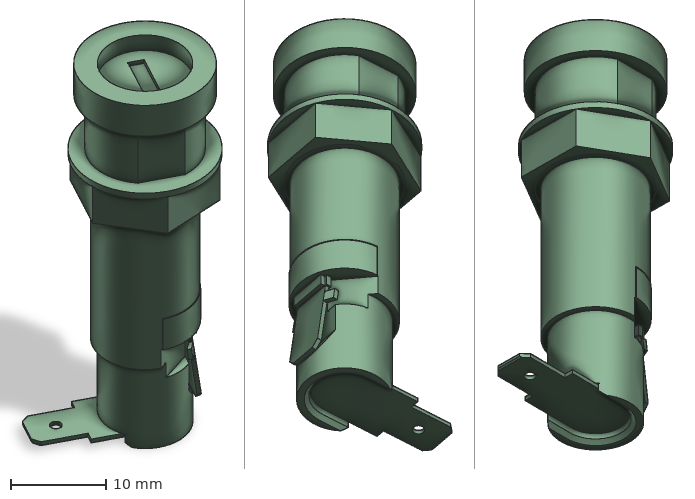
import cadquery as cq
import math


total_height = 46.5
head_height = 4.0
head_base_z = total_height - head_height
nut_base_z = 30.0
hex_height = 4.75
flange_thickness = 0.75
barrel_base_z = 10.8

head_radius = 7.5
neck_radius = 6.35
neck_flat_width = 11.6
barrel_radius = 5.75
tube_radius = 5.05
band_radius = 5.85
band_start_y = 0.15
band_base_z = 13.2
band_height = 4.0

relief_y = 3.8
relief_ledge_z = 8.9
ramp_top_z = 5.4
ramp_base_z = 3.0

carrier_radius = 5.0
carrier_recess = 2.0
slot_length = 6.5
slot_width = 1.8
slot_depth = 0.5

hex_across_flats = 14.0
flange_radius = 8.1

pocket_radius = 3.75
pocket_depth = 1.5
pocket_chamfer = 0.5

terminal_thickness = 0.5
blade_width = 4.8
blade_chamfer = 0.8
shoulder_width = 7.0

bottom_tip_y = -12.99
bottom_shoulder_y = -7.0
bottom_tip_bevel = 0.15
blade_hole_diameter = 1.3
blade_hole_y = -9.8

side_tip_z = 3.05
side_shoulder_base_z = 9.55
side_shoulder_top_z = 10.9
side_root_base_z = 11.9
side_root_width = 5.2
side_lean_angle = 7.5
side_strip_gap = 0.1
side_root_outer_y = 4.95
side_root_fold_y = 4.4
side_fold_width = 4.6
wing_bend_angle = 25.0


def cylinder(radius, base_z, top_z):
    return cq.Workplane("XY").workplane(offset=base_z).circle(radius).extrude(top_z - base_z)


def box(x_range, y_range, z_range):
    """Axis-aligned block between the given limits."""
    sizes = [high - low for low, high in (x_range, y_range, z_range)]
    corner = (x_range[0], y_range[0], z_range[0])
    return cq.Workplane("XY").box(*sizes, centered=False).translate(corner)


def symmetric(width):
    return (-width / 2, width / 2)


def make_neck():
    """Round neck with a flat on each X side, running down through the nut."""
    neck = cylinder(neck_radius, nut_base_z, head_base_z)
    flats = box(symmetric(neck_flat_width), symmetric(2 * neck_radius), (nut_base_z, head_base_z))
    return neck.intersect(flats)


def make_band():
    """Slightly raised half ring on the +Y side of the barrel."""
    band_top_z = band_base_z + band_height
    half = box(symmetric(2 * band_radius), (band_start_y, band_radius), (band_base_z, band_top_z))
    return cylinder(band_radius, band_base_z, band_top_z).intersect(half)


def make_side_notch():
    """Notch under the band that leaves a core with a +Y flat and two 45 degree faces."""
    reach = 2 * barrel_radius
    flat_half_width = barrel_radius - relief_y
    outline = [
        (-barrel_radius, 0),
        (-flat_half_width, relief_y),
        (flat_half_width, relief_y),
        (barrel_radius, 0),
        (reach, 0),
        (reach, reach),
        (-reach, reach),
        (-reach, 0),
    ]
    notch = cq.Workplane("XY").workplane(offset=relief_ledge_z).polyline(outline).close()
    return notch.extrude(band_base_z - relief_ledge_z)


def make_tube_relief():
    """Flat on the +Y side of the tube that ramps out to the full radius lower down."""
    profile = [
        (tube_radius, ramp_base_z),
        (relief_y, ramp_top_z),
        (relief_y, relief_ledge_z),
        (barrel_radius, relief_ledge_z),
        (barrel_radius, ramp_base_z),
    ]
    return cq.Workplane("YZ").polyline(profile).close().extrude(barrel_radius, both=True)


def terminal_pocket_outline(radius):
    """Half circle around the axis, continued straight out past the tube toward -Y."""
    slot_end_y = -2 * tube_radius
    return (
        cq.Workplane("XY")
        .moveTo(-radius, slot_end_y)
        .lineTo(-radius, 0)
        .threePointArc((0, radius), (radius, 0))
        .lineTo(radius, slot_end_y)
        .close()
    )


def make_terminal_pocket():
    """Round pocket in the bottom end, open toward -Y, with a chamfered mouth."""
    pocket = terminal_pocket_outline(pocket_radius).extrude(pocket_depth)
    mouth = terminal_pocket_outline(pocket_radius + pocket_chamfer).extrude(pocket_chamfer, taper=45)
    return pocket.union(mouth)


def make_housing():
    housing = (
        cylinder(tube_radius, 0, barrel_base_z)
        .union(cylinder(barrel_radius, barrel_base_z, nut_base_z))
        .union(make_band())
        .union(make_neck())
        .union(cylinder(head_radius, head_base_z, total_height))
    )
    return (
        housing.cut(cylinder(carrier_radius, head_base_z, total_height))
        .cut(make_side_notch())
        .cut(make_tube_relief())
        .cut(make_terminal_pocket())
    )


def make_carrier():
    """Round fuse carrier, sunk into the head, with a screwdriver slot."""
    carrier_top_z = total_height - carrier_recess
    slot_z = (carrier_top_z - slot_depth, carrier_top_z)
    slot = box(symmetric(slot_length), symmetric(slot_width), slot_z)
    return cylinder(carrier_radius, head_base_z, carrier_top_z).cut(slot)


def make_nut():
    """Hexagon nut with a round flange on top, bored to fit the neck."""
    hex_top_z = nut_base_z + hex_height
    across_corners = hex_across_flats / math.cos(math.radians(30))
    hexagon = cq.Workplane("XY").workplane(offset=nut_base_z).polygon(6, across_corners)
    flange = cylinder(flange_radius, hex_top_z, hex_top_z + flange_thickness)
    return hexagon.extrude(hex_height).union(flange).cut(make_neck())


def make_bottom_terminal():
    """Flat terminal with a round inner end, two shoulders and a blade pointing to -Y."""
    half_shoulder = shoulder_width / 2
    half_blade = blade_width / 2
    half_tip = half_blade - blade_chamfer
    chamfer_y = bottom_tip_y + blade_chamfer
    base_z = pocket_depth - terminal_thickness
    plate = (
        cq.Workplane("XY")
        .workplane(offset=base_z)
        .moveTo(half_shoulder, 0)
        .lineTo(half_shoulder, bottom_shoulder_y)
        .lineTo(half_blade, bottom_shoulder_y)
        .lineTo(half_blade, chamfer_y)
        .lineTo(half_tip, bottom_tip_y)
        .lineTo(-half_tip, bottom_tip_y)
        .lineTo(-half_blade, chamfer_y)
        .lineTo(-half_blade, bottom_shoulder_y)
        .lineTo(-half_shoulder, bottom_shoulder_y)
        .lineTo(-half_shoulder, 0)
        .threePointArc((0, half_shoulder), (half_shoulder, 0))
        .close()
        .extrude(terminal_thickness)
    )
    plate = plate.faces("<Y").edges("<Z").chamfer(bottom_tip_bevel)
    hole = cylinder(blade_hole_diameter / 2, base_z, pocket_depth).translate((0, blade_hole_y, 0))
    return plate.cut(hole)


def make_side_shoulder():
    """Upright shoulder plate whose two ends bend back toward the housing."""
    half_blade = blade_width / 2
    half_shoulder = shoulder_width / 2
    setback = (half_shoulder - half_blade) * math.tan(math.radians(wing_bend_angle))
    outline = [
        (-half_shoulder, -setback),
        (-half_blade, 0),
        (half_blade, 0),
        (half_shoulder, -setback),
        (half_shoulder, terminal_thickness - setback),
        (half_blade, terminal_thickness),
        (-half_blade, terminal_thickness),
        (-half_shoulder, terminal_thickness - setback),
    ]
    shoulder = cq.Workplane("XY").workplane(offset=side_shoulder_base_z).polyline(outline).close()
    return shoulder.extrude(side_shoulder_top_z - side_shoulder_base_z)


def make_side_terminal():
    """Terminal hanging below the band, with its blade leaning away from the housing."""
    root = box(symmetric(side_root_width), (relief_y, side_root_fold_y), (side_root_base_z, band_base_z))
    fold_y = (side_root_fold_y, side_root_outer_y)
    fold = box(symmetric(side_fold_width), fold_y, (side_root_base_z, band_base_z))

    strip = box(symmetric(blade_width), (0, terminal_thickness), (side_tip_z, side_root_base_z))
    strip = strip.edges("|Y and <Z").chamfer(blade_chamfer)
    strip = strip.union(make_side_shoulder())
    strip_y = relief_y + side_strip_gap
    strip = strip.translate((0, strip_y, 0))
    pivot = (0, strip_y, side_root_base_z)
    strip = strip.rotate(pivot, (1, strip_y, side_root_base_z), side_lean_angle)
    return root.union(fold).union(strip)


housing = make_housing()
carrier = make_carrier()
nut = make_nut()
bottom_terminal = make_bottom_terminal()
side_terminal = make_side_terminal()

bodies = [housing, carrier, nut, bottom_terminal, side_terminal]
result = cq.Compound.makeCompound([body.solids().val() for body in bodies])